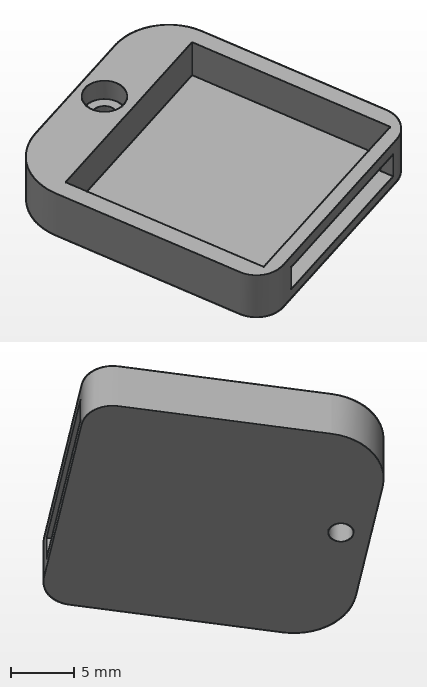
import cadquery as cq

length = 24.68
width = 22.0
height = 4.6
left_corner_radius = 5.0
right_corner_radius = 2.5

floor_thickness = 1.0
side_wall = 1.5
right_wall = 1.2
pocket_start = 5.0
pocket_length = length - right_wall - pocket_start
pocket_width = width - 2 * side_wall

window_height = 2.4
window_width = 15.3
window_back_margin = 1.5
window_front = pocket_width / 2 - window_back_margin - window_width

hole_x = 2.39
hole_y = 0.54
hole_diameter = 2.0
counterbore_diameter = 3.6
counterbore_depth = 2.0


def make_body():
    body = cq.Workplane("XY").box(length, width, height, centered=(False, True, False))
    body = body.edges("|Z and <X").fillet(left_corner_radius)
    return body.edges("|Z and >X").fillet(right_corner_radius)


def make_pocket():
    pocket_depth = height - floor_thickness
    pocket = cq.Workplane("XY").box(
        pocket_length, pocket_width, pocket_depth, centered=(False, True, False)
    )
    return pocket.translate((pocket_start, 0, floor_thickness))


def make_window():
    window = cq.Workplane("XY").box(right_wall, window_width, window_height, centered=False)
    return window.translate((length - right_wall, window_front, floor_thickness))


def add_counterbored_hole(body):
    top_plane = body.faces(">Z").workplane(origin=(hole_x, hole_y, height))
    return top_plane.cboreHole(hole_diameter, counterbore_diameter, counterbore_depth)


tray = make_body().cut(make_pocket()).cut(make_window())
result = add_counterbored_hole(tray)